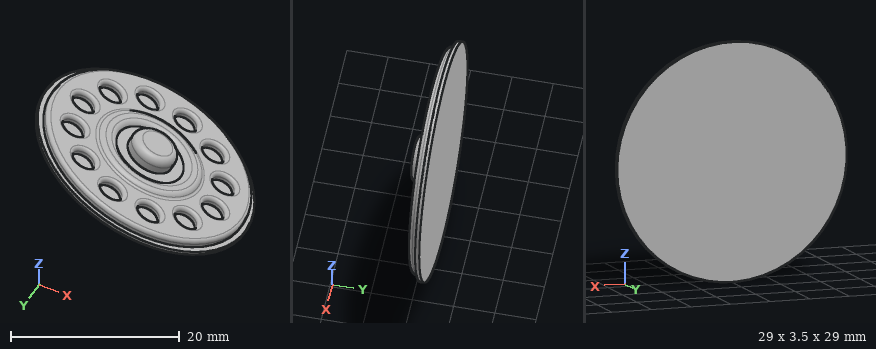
import cadquery as cq
import math

flange_radius = 29.0 / 2
flange_depth = 0.5

body_radius = 27.5 / 2
body_depth = 1.5
body_edge_radius = 0.5

ring_outer_radius = 7.0
ring_inner_radius = 4.5
ring_height = 0.5
ring_depth = body_depth + ring_height
ring_edge_radius = 1.0
ring_root_fillet = 0.5
ring_edge_run = math.sqrt(ring_edge_radius**2 - (ring_edge_radius - ring_height) ** 2)
crown_outer_radius = ring_outer_radius - ring_edge_run
crown_inner_radius = ring_inner_radius + ring_edge_run

boss_radius = 6.0 / 2
boss_depth = 3.5
boss_edge_radius = 1.0

pocket_count = 12
pocket_circle_radius = 10.0
pocket_radius = 3.0 / 2
pocket_edge_radius = 0.5
pocket_floor_depth = 0.5

OUTWARD = 0
FRONT = -90
INWARD = -180
BACK = -270


def arc_point(center, radius, degrees):
    """Point at the given direction on an arc about center."""
    angle = math.radians(degrees)
    return (center[0] + radius * math.cos(angle), center[1] + radius * math.sin(angle))


def add_arc(profile, center, radius, start, end):
    """Extend the profile along an arc, through its middle direction to its end direction."""
    middle_point = arc_point(center, radius, (start + end) / 2)
    return profile.threePointArc(middle_point, arc_point(center, radius, end))


def make_turned_body():
    """Flange, body, ring and boss, revolved about the Y axis."""
    body_edge_center = (body_radius - body_edge_radius, body_edge_radius - body_depth)
    ring_outer_center = (crown_outer_radius, ring_edge_radius - ring_depth)
    ring_inner_center = (crown_inner_radius, ring_edge_radius - ring_depth)
    boss_edge_center = (boss_radius - boss_edge_radius, boss_edge_radius - boss_depth)

    center_spacing = ring_edge_radius + ring_root_fillet
    root_center_y = -body_depth - ring_root_fillet
    blend = math.degrees(math.asin((root_center_y - ring_outer_center[1]) / center_spacing))
    root_center = arc_point(ring_outer_center, center_spacing, blend)

    inner_rise = (ring_edge_radius - ring_height) / ring_edge_radius
    inner_end = INWARD + math.degrees(math.asin(inner_rise))

    profile = (
        cq.Workplane("XY")
        .moveTo(0, 0)
        .lineTo(flange_radius, 0)
        .lineTo(flange_radius, -flange_depth)
        .lineTo(body_radius, -flange_depth)
        .lineTo(body_radius, body_edge_center[1])
    )
    profile = add_arc(profile, body_edge_center, body_edge_radius, OUTWARD, FRONT)
    profile = profile.lineTo(root_center[0], -body_depth)
    profile = add_arc(profile, root_center, ring_root_fillet, BACK, blend - 180)
    profile = add_arc(profile, ring_outer_center, ring_edge_radius, blend, FRONT)
    profile = profile.lineTo(crown_inner_radius, -ring_depth)
    profile = add_arc(profile, ring_inner_center, ring_edge_radius, FRONT, inner_end)
    profile = profile.lineTo(boss_radius, -body_depth)
    profile = profile.lineTo(boss_radius, boss_edge_center[1])
    profile = add_arc(profile, boss_edge_center, boss_edge_radius, OUTWARD, FRONT)
    profile = profile.lineTo(0, -boss_depth).close()
    return profile.revolve(360, (0, 0), (0, 1))


def make_pocket_cutter():
    """Pocket volume about the Y axis, flaring out through a rounded rim."""
    rim_radius = pocket_radius + pocket_edge_radius
    rim_center = (rim_radius, pocket_edge_radius - body_depth)
    profile = (
        cq.Workplane("XY")
        .moveTo(0, -pocket_floor_depth)
        .lineTo(pocket_radius, -pocket_floor_depth)
        .lineTo(pocket_radius, rim_center[1])
    )
    profile = add_arc(profile, rim_center, pocket_edge_radius, INWARD, FRONT)
    profile = profile.lineTo(0, -body_depth).close()
    return profile.revolve(360, (0, 0), (0, 1))


def cut_pockets(body):
    """Cut the pockets at equal angles around the Y axis."""
    cutter = make_pocket_cutter().translate((pocket_circle_radius, 0, 0))
    for index in range(pocket_count):
        angle = index * 360 / pocket_count
        body = body.cut(cutter.rotate((0, 0, 0), (0, 1, 0), angle))
    return body


result = cut_pockets(make_turned_body())